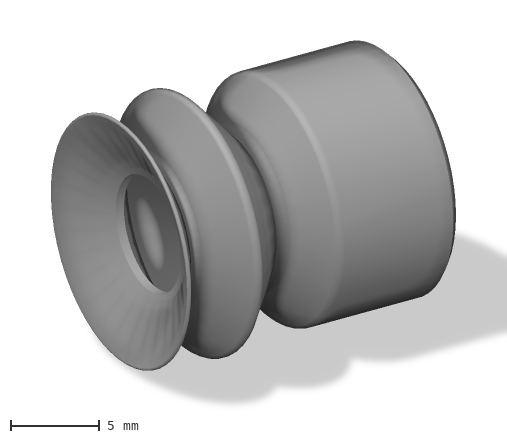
import cadquery as cq

length = 18.0

body_radius = 7.5
body_chamfer = 0.49
body_front_y = 10.31
shoulder_radius = 7.3
shoulder_y = 9.86

rear_waist_radius = 4.73
rear_waist_y = 7.52
waist_land = 0.25
rear_blend_radius = 4.97
rear_blend_y = 8.25

crest_radius = 7.87
crest_y = 4.5
crest_half_width = 0.32
crest_round_depth = 0.18
crest_edge_radius = crest_radius - crest_round_depth

front_waist_radius = 4.68
front_waist_y = 1.9
front_blend_radius = 4.86
front_blend_y = 2.52

lip_radius = body_radius
lip_inner_radius = 7.36
lip_edge_radius = 7.42
lip_width = 0.25

neck_radius = 3.51
neck_front_y = 1.9
neck_length = 0.54
neck_back_y = neck_front_y + neck_length
fold_cavity_radius = 6.57
throat_radius = 2.1
cavity_depth = fold_cavity_radius - throat_radius
throat_y = crest_y + cavity_depth
bore_radius = 2.0
throat_round_length = 0.27


def add_waist(sketch, waist_radius, waist_y, blend_radius, blend_y):
    """Draw the cone down to a waist, its rounded blend and its short land."""
    land_y = waist_y + waist_land
    middle = (waist_radius + (blend_radius - waist_radius) / 4, (blend_y + land_y) / 2)
    return (
        sketch.lineTo(blend_radius, blend_y)
        .threePointArc(middle, (waist_radius, land_y))
        .lineTo(waist_radius, waist_y)
    )


def outer_profile(sketch):
    """Draw the outside from the back face forward to the lip."""
    sketch = (
        sketch.moveTo(bore_radius, length)
        .lineTo(body_radius - body_chamfer, length)
        .lineTo(body_radius, length - body_chamfer)
        .lineTo(body_radius, body_front_y)
        .tangentArcPoint((shoulder_radius, shoulder_y), relative=False)
    )
    sketch = add_waist(sketch, rear_waist_radius, rear_waist_y, rear_blend_radius, rear_blend_y)
    sketch = (
        sketch.lineTo(crest_edge_radius, crest_y + crest_half_width)
        .threePointArc((crest_radius, crest_y), (crest_edge_radius, crest_y - crest_half_width))
    )
    sketch = add_waist(sketch, front_waist_radius, front_waist_y, front_blend_radius, front_blend_y)
    return (
        sketch.lineTo(lip_edge_radius, lip_width)
        .threePointArc((lip_radius, lip_width / 2), (lip_edge_radius, 0))
    )


def inner_profile(sketch):
    """Draw the inside from the lip back to the bore and close the outline."""
    return (
        sketch.lineTo(lip_inner_radius, 0)
        .lineTo(neck_radius, neck_front_y)
        .lineTo(neck_radius, neck_back_y)
        .lineTo(fold_cavity_radius, crest_y)
        .lineTo(throat_radius, throat_y)
        .tangentArcPoint((bore_radius, throat_y + throat_round_length), relative=False)
        .close()
    )


profile = inner_profile(outer_profile(cq.Workplane("XY")))
result = profile.revolve(360, (0, 0, 0), (0, 1, 0))